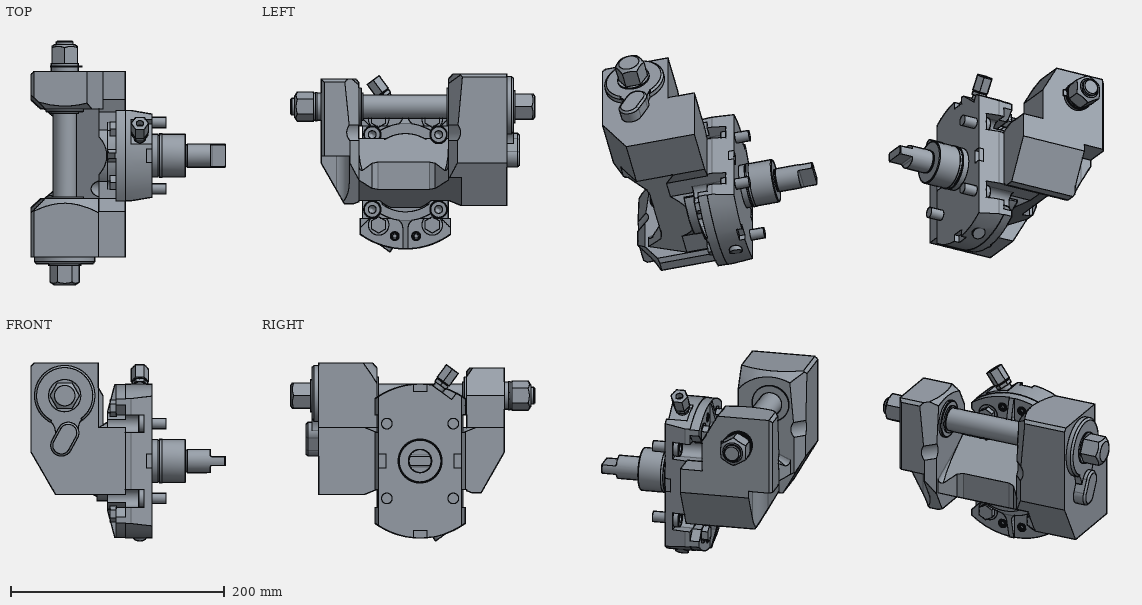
import cadquery as cq
import math

BIG = 400.0

BODY_FRONT_X = -113.5
BODY_BACK_X = -25.0

NEAR_OUTER_Y = -95.0
NEAR_INNER_Y = -40.3
NEAR_TOP_Z = 91.87
NEAR_BACK_X = -50.3
STEP_Z = 31.5
NEAR_BOTTOM_Z = -31.5

FAR_OUTER_Y = 79.0
FAR_INNER_Y = 43.7
FAR_TOP_Z = 87.1
FAR_BACK_X = -46.0
FAR_BEVEL_WIDTH = 15.0
FAR_BOTTOM_Z = -29.8
FAR_SKEW_Y = 57.2

ARM_TOP_CHAMFER = 3.0
SLANT_TOP_Z = 8.4
STEEP_SLOPE = math.tan(math.radians(30))
EDGE_BEVEL_X = 9.0
EDGE_BEVEL_Y = 8.3
SCOOP_Z = 37.0
SCOOP_RADIUS = 14.5
SCOOP_OFFSET = 12.3
EDGE_BEVEL_GROWTH = 5.0
CONE_SLOPE = 0.9
CONE_LENGTH = 25.0
NEAR_CONE_RADIUS = 41.2
NEAR_CONE_Z = 46.0
FAR_CONE_RADIUS = 66.1
FAR_CONE_Z = 18.0

BRIDGE_HALF_HEIGHT = 26.7
SHOULDER_WIDTH = 12.0
FAR_SHOULDER_Y = 40.75
RAMP_TOP_X = -49.6
RAMP_SLOPE = 0.636
WALL_X = -84.5
WALL_MID_Y = 1.7
WALL_HALF_WIDTH = 24.0
FLARE_START_X = -86.3
FLARE_HALF_WIDTH = 29.6
FLARE_END_X = -101.0
UNDERCUT_START_X = -106.0
UNDERCUT_START_Z = -5.0
UNDERCUT_SLOPE = 0.522
UNDERCUT_NEAR_Y = -52.5
HUB_RADIUS = 36.0
HUB_RING_RADIUS = 37.3
HUB_RING_FRONT_X = -51.8
RAMP_FILLET = 7.6
RAMP_FILLET_START_X = -60.0
RAMP_FILLET_SLOPE = 0.45

ROD_X = -81.9
ROD_Z = 61.2
ROD_RADIUS = 11.0
ROD_END_RADIUS = 8.0
ROD_END_Y = 107.4
ROD_COLLAR_RADIUS = 17.7
HEX_FLATS = 24.0
HEX_FACE_RADIUS = 9.6
HEX_BEVEL = 2.8
NEAR_HEX_START_Y = -102.6
NEAR_HEX_END_Y = -121.1
FAR_HEX_START_Y = 86.1
FAR_HEX_END_Y = 103.9
DISC_RADIUS = 28.3
DISC_END_Y = -101.3
DISC_CHAMFER = 2.0
KEY_END_Y = -107.0
KEY_RADIUS = 10.0
KEY_TOP = (-78.6, 26.4)
KEY_LOW = (-85.0, 14.65)
NECK_LEFT = ((-94.9, 36.7), (-91.7, 32.2), (-90.6, 26.5))
NECK_RIGHT = ((-65.9, 39.2), (-68.3, 34.8), (-68.7, 27.8))

FLANGE_RADIUS = 72.2
FLANGE_BACK_X = -25.0
FLANGE_HALF_WIDTH = 42.4
FLANGE_TAPER_X = -20.0
FLANGE_FACE_HALF_WIDTH = 39.0
SCREW_Y = 31.1
SCREW_Z = 35.0
SCREW_SEAT_X = -7.6
SCREW_HEAD_X = -13.0
SCREW_HEAD_RADIUS = 8.0
SCREW_SOCKET_RADIUS = 3.7
SCREW_POCKET_RADIUS = 8.3
NEAR_POCKET_X = -57.5
SCREW_SHANK_RADIUS = 5.0
SCREW_END_X = 13.1
KEYWAY_WIDTH = 12.7
KEYWAY_DEPTH = 5.1
KEYWAY_LENGTH = 7.0

PLATE_FRONT_X = -33.9
RIB_TIP_X = -35.0
PLATE_INNER_Z = 43.3
PLATE_CORNER = 9.0
PLATE_RADIUS = 71.8
RING_FRONT_X = -42.0
RING_RADIUS = 45.5
RIB_HALF_WIDTH = 2.5
RIB_ROOT_HALF_WIDTH = 6.0
RIB_BLEND_Z = 53.0
BOLT_Y = 25.1
BOLT_Z = 49.5
BOLT_FLATS = 13.2
BOLT_FRONT_X = -39.4
SPOTFACE_X = -33.5
SPOTFACE_RADIUS = 9.6
SET_SCREW_Y = 10.0
SET_SCREW_Z = 60.0
SET_SCREW_RADIUS = 4.2
SET_SCREW_HEAD_RADIUS = 3.2
SET_SCREW_SOCKET_FLATS = 4.0

NOZZLE_X = -11.5
NOZZLE_TILT = 36.1
NOZZLE_SIDE = 26.3
NOZZLE_SEAT = 64.0
NOZZLE_HEX_START = 72.9
NOZZLE_HEX_END = 87.4
NOZZLE_FLATS = 14.0
NOZZLE_BORE_RADIUS = 3.3
NOZZLE_NECK_RADIUS = 5.5
NOZZLE_COLLAR_FLATS = 13.0
NOZZLE_SEAT_SIDE = 10.0
PLUG_RADIUS = 6.1
PLUG_END = 69.13

SPINDLE_RADIUS = 20.25
SPINDLE_GROOVE_X = 5.5
SPINDLE_GROOVE_END_X = 7.0
SPINDLE_GROOVE_RADIUS = 19.3
SPINDLE_COLLAR_END_X = 9.3
SPINDLE_COLLAR_RADIUS = 20.6
SPINDLE_END_X = 31.4
SHAFT_RADIUS = 11.0
NECK_RADIUS = 10.4
NECK_END_X = 32.5
TANG_START_X = 54.5
SHAFT_END_X = 68.72
TANG_HALF_THICKNESS = 4.2
TANG_FILLET = 1.5
TANG_CHAMFER = 0.8


def box(x0, x1, y0, y1, z0, z1):
    return cq.Workplane("XY").box(x1 - x0, y1 - y0, z1 - z0, centered=False).translate((x0, y0, z0))


def cylinder_x(x0, x1, radius, y=0.0, z=0.0):
    return cq.Workplane("YZ", origin=(x0, y, z)).circle(radius).extrude(x1 - x0)


def cylinder_y(y0, y1, radius):
    """Cylinder on the rod axis; the XZ workplane has its normal on -Y."""
    return cq.Workplane("XZ", origin=(ROD_X, y0, ROD_Z)).circle(radius).extrude(y0 - y1)


def prism_xz(points, y0, y1):
    return cq.Workplane("XZ", origin=(0, y0, 0)).polyline(points).close().extrude(y0 - y1)


def prism_yz(points, x0, x1):
    return cq.Workplane("YZ", origin=(x0, 0, 0)).polyline(points).close().extrude(x1 - x0)


def prism_xy(points, z0, z1):
    return cq.Workplane("XY", origin=(0, 0, z0)).polyline(points).close().extrude(z1 - z0)


def corner_diameter(flats):
    return 2 * flats / math.sqrt(3)


def slant_x(z):
    """X of the slanted lower front face of the arms at height z."""
    return BODY_FRONT_X + (SLANT_TOP_Z - z) * STEEP_SLOPE


def ramp_z(x):
    """Height of the sloping top of the bridge at x."""
    return STEP_Z + (x - RAMP_TOP_X) * RAMP_SLOPE


def ease_inner_edges(arm, inner_y, outward, top_z, cone_radius, cone_z):
    """Bevel, scoop and cone on the arm's inner face; outward is the Y sign into the arm."""
    bevel_y = inner_y + outward * EDGE_BEVEL_Y
    bevel_x = BODY_FRONT_X + EDGE_BEVEL_X
    low_points = [(BODY_FRONT_X, bevel_y), (bevel_x, inner_y), (BODY_FRONT_X, inner_y)]
    bevel = prism_xy(low_points, -BIG, BIG)
    top_points = [
        (BODY_FRONT_X, bevel_y + outward * EDGE_BEVEL_GROWTH),
        (bevel_x + EDGE_BEVEL_GROWTH, inner_y),
        (BODY_FRONT_X, inner_y),
    ]
    widening = cq.Workplane("XY", origin=(0, 0, SCOOP_Z)).polyline(low_points).close()
    widening = widening.workplane(offset=top_z - SCOOP_Z).polyline(top_points).close().loft(ruled=True)

    length = math.hypot(EDGE_BEVEL_X, EDGE_BEVEL_Y)
    along = (EDGE_BEVEL_X / length, -outward * EDGE_BEVEL_Y / length, 0)
    away = (-EDGE_BEVEL_Y / length, -outward * EDGE_BEVEL_X / length)
    centre = (
        (BODY_FRONT_X + bevel_x) / 2 + away[0] * SCOOP_OFFSET,
        (bevel_y + inner_y) / 2 + away[1] * SCOOP_OFFSET,
        SCOOP_Z,
    )
    plane = cq.Plane(origin=centre, xDir=(0, 0, 1), normal=along)
    scoop = cq.Workplane(plane).circle(SCOOP_RADIUS).extrude(2 * length, both=True)

    end_radius = cone_radius + CONE_LENGTH / CONE_SLOPE
    cone = cq.Workplane(
        cq.Solid.makeCone(
            cone_radius,
            end_radius,
            CONE_LENGTH,
            cq.Vector(ROD_X, inner_y, cone_z),
            cq.Vector(0, outward, 0),
        )
    )
    slab_end = inner_y + outward * CONE_LENGTH
    rim = box(-BIG, BIG, min(inner_y, slab_end), max(inner_y, slab_end), ROD_Z, BIG).cut(cone)
    return arm.cut(bevel).cut(widening).cut(scoop).cut(rim)


def near_arm():
    outline = [
        (BODY_FRONT_X, SLANT_TOP_Z),
        (BODY_FRONT_X, NEAR_TOP_Z - ARM_TOP_CHAMFER),
        (BODY_FRONT_X + ARM_TOP_CHAMFER, NEAR_TOP_Z),
        (NEAR_BACK_X, NEAR_TOP_Z),
        (NEAR_BACK_X, STEP_Z),
        (BODY_BACK_X, STEP_Z),
        (BODY_BACK_X, NEAR_BOTTOM_Z),
        (slant_x(NEAR_BOTTOM_Z), NEAR_BOTTOM_Z),
    ]
    arm = prism_xz(outline, NEAR_OUTER_Y, NEAR_INNER_Y)
    return ease_inner_edges(arm, NEAR_INNER_Y, -1, NEAR_TOP_Z, NEAR_CONE_RADIUS, NEAR_CONE_Z)


def far_arm():
    bevel_drop = FAR_BEVEL_WIDTH / STEEP_SLOPE
    outline = [
        (BODY_FRONT_X, SLANT_TOP_Z),
        (BODY_FRONT_X, FAR_TOP_Z - ARM_TOP_CHAMFER),
        (BODY_FRONT_X + ARM_TOP_CHAMFER, FAR_TOP_Z),
        (FAR_BACK_X - FAR_BEVEL_WIDTH, FAR_TOP_Z),
        (FAR_BACK_X, FAR_TOP_Z - bevel_drop),
        (FAR_BACK_X, STEP_Z),
        (BODY_BACK_X, STEP_Z),
        (BODY_BACK_X, FAR_BOTTOM_Z),
        (slant_x(FAR_BOTTOM_Z), FAR_BOTTOM_Z),
    ]
    arm = prism_xz(outline, FAR_INNER_Y, FAR_OUTER_Y)
    arm = ease_inner_edges(arm, FAR_INNER_Y, 1, FAR_TOP_Z, FAR_CONE_RADIUS, FAR_CONE_Z)
    corner = [
        (BODY_FRONT_X, FAR_OUTER_Y - ARM_TOP_CHAMFER),
        (BODY_FRONT_X + ARM_TOP_CHAMFER, FAR_OUTER_Y),
        (BODY_FRONT_X, FAR_OUTER_Y),
    ]
    arm = arm.cut(prism_xy(corner, -BIG, BIG))
    skew = [(FAR_OUTER_Y, SLANT_TOP_Z), (FAR_SKEW_Y, FAR_BOTTOM_Z), (FAR_OUTER_Y, FAR_BOTTOM_Z)]
    arm = arm.cut(prism_yz(skew, -BIG, BIG))
    return arm.cut(far_arm_recess())


def far_arm_recess():
    """Rounded recess under the front outer corner of the far arm."""
    ceiling_z = 15.0
    wall_x = -91.0
    round_radius = 12.0
    round_x = wall_x - round_radius
    round_y = 64.5
    recess = cq.Workplane("XY", origin=(0, 0, -BIG)).moveTo(-BIG, round_y - round_radius)
    recess = recess.lineTo(round_x, round_y - round_radius)
    diagonal = round_radius / math.sqrt(2)
    recess = recess.threePointArc((round_x + diagonal, round_y - diagonal), (wall_x, round_y))
    return recess.lineTo(wall_x, BIG).lineTo(-BIG, BIG).close().extrude(BIG + ceiling_z)


def arm_shoulders(body):
    """Slope the arms' low ends down to the height of the bridge, above and below."""
    body = body.union(box(RAMP_TOP_X, BODY_BACK_X, FAR_SHOULDER_Y, FAR_INNER_Y, 0, STEP_Z))
    slope = (STEP_Z - BRIDGE_HALF_HEIGHT) / SHOULDER_WIDTH
    for inner_y, outward, bottom_z in ((NEAR_INNER_Y, -1, NEAR_BOTTOM_Z), (FAR_SHOULDER_Y, 1, FAR_BOTTOM_Z)):
        outer_y = inner_y + outward * SHOULDER_WIDTH
        upper = [(inner_y, BRIDGE_HALF_HEIGHT), (outer_y, STEP_Z), (inner_y, STEP_Z)]
        low_y = inner_y - outward * (bottom_z + BRIDGE_HALF_HEIGHT) / slope
        lower = [(inner_y, -BRIDGE_HALF_HEIGHT), (low_y, bottom_z), (inner_y, bottom_z)]
        body = body.cut(prism_yz(upper, RAMP_TOP_X, BODY_BACK_X))
        body = body.cut(prism_yz(lower, -BIG, BODY_BACK_X))
    return body


def bridge():
    left_y = WALL_MID_Y - WALL_HALF_WIDTH
    right_y = WALL_MID_Y + WALL_HALF_WIDTH
    left_flare_y = WALL_MID_Y - FLARE_HALF_WIDTH
    right_flare_y = WALL_MID_Y + FLARE_HALF_WIDTH
    plan = [
        (RAMP_TOP_X, NEAR_INNER_Y),
        (FLARE_END_X, NEAR_INNER_Y),
        (FLARE_START_X, left_flare_y),
        (WALL_X, left_y),
        (WALL_X, right_y),
        (FLARE_START_X, right_flare_y),
        (FLARE_END_X, FAR_INNER_Y),
        (RAMP_TOP_X, FAR_INNER_Y),
    ]
    block = prism_xy(plan, -BRIDGE_HALF_HEIGHT, STEP_Z)
    rear = box(
        RAMP_TOP_X, BODY_BACK_X, NEAR_INNER_Y, FAR_INNER_Y, -BRIDGE_HALF_HEIGHT, BRIDGE_HALF_HEIGHT
    )
    hub = cylinder_x(WALL_X, BODY_BACK_X, HUB_RADIUS)
    solid = block.union(rear).union(hub)
    above_ramp = [
        (-BIG, ramp_z(-BIG)),
        (RAMP_TOP_X + HUB_RADIUS, ramp_z(RAMP_TOP_X + HUB_RADIUS)),
        (-BIG, ramp_z(RAMP_TOP_X + HUB_RADIUS)),
    ]
    solid = solid.cut(prism_xz(above_ramp, NEAR_INNER_Y, FAR_INNER_Y))
    fillets = ramp_fillet(NEAR_INNER_Y, 1).union(ramp_fillet(FAR_INNER_Y, -1))
    return solid.union(fillets.intersect(prism_xy(plan, -BRIDGE_HALF_HEIGHT, STEP_Z)))


def ramp_fillet(wall_y, inward):
    """Concave fillet at the foot of an arm, shallower than the ramp so it grows towards the front."""
    origin = (RAMP_FILLET_START_X, wall_y, ramp_z(RAMP_FILLET_START_X))
    plane = cq.Plane(origin=origin, xDir=(0, inward, 0), normal=(-1, 0, -RAMP_FILLET_SLOPE))
    down = -RAMP_FILLET if plane.yDir.z > 0 else RAMP_FILLET
    bulge = 1 - 1 / math.sqrt(2)
    profile = cq.Workplane(plane).lineTo(0, down).lineTo(RAMP_FILLET, down)
    profile = profile.threePointArc((RAMP_FILLET * bulge, down * (1 - bulge)), (0, 0))
    return profile.close().extrude(RAMP_FILLET_START_X - BODY_FRONT_X)


def undercut():
    """Wedge taken off under the bridge between the arms."""
    end_x = 0.0
    drop = (end_x - UNDERCUT_START_X) * UNDERCUT_SLOPE
    points = [
        (-BIG, UNDERCUT_START_Z + (UNDERCUT_START_X + BIG) * UNDERCUT_SLOPE),
        (end_x, UNDERCUT_START_Z - drop),
        (-BIG, UNDERCUT_START_Z - drop),
    ]
    return prism_xz(points, UNDERCUT_NEAR_Y, FAR_INNER_Y)


def hub_ring():
    """Lower half ring where the hub meets the clamp ring."""
    ring = cylinder_x(HUB_RING_FRONT_X, RING_FRONT_X, HUB_RING_RADIUS)
    half_width = 22.0
    return ring.intersect(box(-BIG, BIG, -half_width, half_width, -BIG, 0))


def housing():
    body = near_arm().union(far_arm()).union(bridge()).cut(undercut())
    body = arm_shoulders(body)
    for side, front_x in ((-1, NEAR_POCKET_X), (1, RAMP_TOP_X)):
        body = body.cut(cylinder_x(front_x, BODY_BACK_X, SCREW_POCKET_RADIUS, side * SCREW_Y, SCREW_Z))
    return body.union(hub_ring())


def rod_hex(seat_y, end_y, rotation):
    """Hexagon of the rod with the corners of its outer end turned to a cone."""
    corner = corner_diameter(HEX_FLATS)
    outward = math.copysign(1, end_y - seat_y)
    length = abs(end_y - seat_y)
    plane = cq.Plane(origin=(ROD_X, seat_y, ROD_Z), xDir=(1, 0, 0), normal=(0, outward, 0))
    hexagon = cq.Workplane(plane).transformed(rotate=(0, 0, rotation)).polygon(6, corner).extrude(length)
    turned = cq.Workplane(plane).circle(corner / 2).extrude(length - HEX_BEVEL)
    cone_start = cq.Vector(ROD_X, end_y - outward * HEX_BEVEL, ROD_Z)
    cone = cq.Solid.makeCone(corner / 2, HEX_FACE_RADIUS, HEX_BEVEL, cone_start, cq.Vector(0, outward, 0))
    return hexagon.intersect(turned.union(cq.Workplane(cone)))


def rod():
    washer_y = 82.8
    washer_thickness = 1.2
    far_washer_radius = 13.4
    tab_end_x = -65.7
    tab_half_width = 3.0
    near_washer_radius = 15.1
    near_collar_y = -38.7
    far_collar_y = 41.0
    far_lip_y = 39.6
    lip_radius = 13.0
    sleeve_radius = 12.8
    collar_chamfer = 0.8
    end_chamfer = 1.2
    threaded = cylinder_y(NEAR_OUTER_Y, ROD_END_Y, ROD_END_RADIUS).faces(">Y").chamfer(end_chamfer)
    parts = threaded.union(cylinder_y(NEAR_OUTER_Y, FAR_OUTER_Y, ROD_RADIUS))
    washer_tab = box(0, tab_end_x - ROD_X, 0, washer_thickness, -tab_half_width, tab_half_width)
    washer_tab = washer_tab.translate((ROD_X, washer_y, ROD_Z))
    collars = (
        cylinder_y(far_collar_y, FAR_INNER_Y, ROD_COLLAR_RADIUS).faces("<Y").chamfer(collar_chamfer),
        cylinder_y(far_lip_y, far_collar_y, lip_radius),
        cylinder_y(NEAR_INNER_Y, near_collar_y, ROD_COLLAR_RADIUS),
        cylinder_y(FAR_OUTER_Y, FAR_HEX_START_Y, sleeve_radius),
        cylinder_y(washer_y, washer_y + washer_thickness, far_washer_radius),
        washer_tab,
        cylinder_y(NEAR_HEX_START_Y, DISC_END_Y, near_washer_radius),
        rod_hex(FAR_HEX_START_Y, FAR_HEX_END_Y, 30),
        rod_hex(NEAR_HEX_START_Y, NEAR_HEX_END_Y, 0),
    )
    for collar in collars:
        parts = parts.union(collar)
    return parts


def locking_disc():
    """Disc under the rod head with a necked tongue ending in a raised key."""
    disc = cylinder_y(DISC_END_Y, NEAR_OUTER_Y, DISC_RADIUS).faces("<Y").chamfer(DISC_CHAMFER)
    neck = (
        cq.Workplane("XZ", origin=(0, NEAR_OUTER_Y, 0))
        .moveTo(ROD_X, ROD_Z)
        .lineTo(*NECK_LEFT[0])
        .threePointArc(NECK_LEFT[1], NECK_LEFT[2])
        .lineTo(*KEY_TOP)
        .lineTo(*NECK_RIGHT[2])
        .threePointArc(NECK_RIGHT[1], NECK_RIGHT[0])
        .close()
        .extrude(NEAR_OUTER_Y - DISC_END_Y)
    )
    run_x = KEY_TOP[0] - KEY_LOW[0]
    run_z = KEY_TOP[1] - KEY_LOW[1]
    length = math.hypot(run_x, run_z) + 2 * KEY_RADIUS
    tilt = math.degrees(math.atan2(run_z, run_x))
    key = (
        cq.Workplane("XZ", origin=(KEY_LOW[0] + run_x / 2, NEAR_OUTER_Y, KEY_LOW[1] + run_z / 2))
        .slot2D(length, 2 * KEY_RADIUS, tilt)
        .extrude(NEAR_OUTER_Y - KEY_END_Y)
        .faces("<Y")
        .chamfer(DISC_CHAMFER)
    )
    return disc.union(neck).union(key)


def flange():
    plan = [
        (FLANGE_BACK_X, -FLANGE_HALF_WIDTH),
        (FLANGE_TAPER_X, -FLANGE_HALF_WIDTH),
        (0, -FLANGE_FACE_HALF_WIDTH),
        (0, FLANGE_FACE_HALF_WIDTH),
        (FLANGE_TAPER_X, FLANGE_HALF_WIDTH),
        (FLANGE_BACK_X, FLANGE_HALF_WIDTH),
    ]
    plate = cylinder_x(FLANGE_BACK_X, 0, FLANGE_RADIUS).intersect(prism_xy(plan, -BIG, BIG))
    keyway = box(-KEYWAY_DEPTH, 0, 0, KEYWAY_LENGTH, -KEYWAY_WIDTH / 2, KEYWAY_WIDTH / 2)
    rims = (FLANGE_FACE_HALF_WIDTH, FLANGE_RADIUS, FLANGE_FACE_HALF_WIDTH, FLANGE_RADIUS)
    for quarter, rim in enumerate(rims):
        placed = keyway.translate((0, rim - KEYWAY_LENGTH, 0))
        plate = plate.cut(placed.rotate((0, 0, 0), (1, 0, 0), 90 * quarter))
    return plate


def clamp_plate(side):
    """Segment plate with clipped inner corners; side is the Z sign."""
    edge = FLANGE_HALF_WIDTH
    outline = [
        (-edge, side * BIG),
        (-edge, side * (PLATE_INNER_Z + PLATE_CORNER)),
        (-edge + PLATE_CORNER, side * PLATE_INNER_Z),
        (edge - PLATE_CORNER, side * PLATE_INNER_Z),
        (edge, side * (PLATE_INNER_Z + PLATE_CORNER)),
        (edge, side * BIG),
    ]
    disc = cylinder_x(PLATE_FRONT_X, FLANGE_BACK_X, PLATE_RADIUS)
    return disc.intersect(prism_yz(outline, PLATE_FRONT_X, FLANGE_BACK_X))


def clamp_rib(side):
    """Tapering rib on the plate's centre, flared where it joins the ring."""
    bend_y = 3.3
    bend_z = 48.75
    ring_overlap = 2.0
    inner_z = RING_RADIUS - ring_overlap
    blank = (
        cq.Workplane("YZ", origin=(RING_FRONT_X, 0, 0))
        .moveTo(-RIB_ROOT_HALF_WIDTH, side * inner_z)
        .lineTo(-RIB_ROOT_HALF_WIDTH, side * RING_RADIUS)
        .threePointArc((-bend_y, side * bend_z), (-RIB_HALF_WIDTH, side * RIB_BLEND_Z))
        .lineTo(-RIB_HALF_WIDTH, side * PLATE_RADIUS)
        .lineTo(RIB_HALF_WIDTH, side * PLATE_RADIUS)
        .lineTo(RIB_HALF_WIDTH, side * RIB_BLEND_Z)
        .threePointArc((bend_y, side * bend_z), (RIB_ROOT_HALF_WIDTH, side * RING_RADIUS))
        .lineTo(RIB_ROOT_HALF_WIDTH, side * inner_z)
        .close()
        .extrude(FLANGE_BACK_X - RING_FRONT_X)
    )
    taper = [
        (FLANGE_BACK_X, side * inner_z),
        (RING_FRONT_X, side * inner_z),
        (RING_FRONT_X, side * RING_RADIUS),
        (RIB_TIP_X, side * PLATE_RADIUS),
        (FLANGE_BACK_X, side * PLATE_RADIUS),
    ]
    tapered = blank.intersect(prism_xz(taper, -RIB_ROOT_HALF_WIDTH, RIB_ROOT_HALF_WIDTH))
    return tapered.intersect(cylinder_x(RING_FRONT_X, FLANGE_BACK_X, PLATE_RADIUS))


def clamp_ring():
    ring = cylinder_x(RING_FRONT_X, FLANGE_BACK_X, RING_RADIUS)
    return ring.intersect(box(-BIG, BIG, -SCREW_Y, SCREW_Y, -BIG, BIG))


def screw_pocket(side_y, side_z):
    """Clearance for a flange screw, open towards the flange's side."""
    y = side_y * SCREW_Y
    z = side_z * SCREW_Z
    well = cylinder_x(RING_FRONT_X, SCREW_SEAT_X, SCREW_POCKET_RADIUS, y, z)
    outer = sorted((y, side_y * BIG))
    mouth = box(RING_FRONT_X, SCREW_SEAT_X, outer[0], outer[1], -SCREW_POCKET_RADIUS, SCREW_POCKET_RADIUS)
    return well.union(mouth.translate((0, 0, z)))


def flange_screw(side_y, side_z):
    y = side_y * SCREW_Y
    z = side_z * SCREW_Z
    head_chamfer = 0.6
    head = cylinder_x(SCREW_HEAD_X, SCREW_SEAT_X, SCREW_HEAD_RADIUS, y, z).faces("<X").chamfer(head_chamfer)
    socket = cq.Solid.makeCone(
        SCREW_SOCKET_RADIUS, 0, SCREW_SOCKET_RADIUS, cq.Vector(SCREW_HEAD_X, y, z), cq.Vector(1, 0, 0)
    )
    shank = cylinder_x(SCREW_SEAT_X, SCREW_END_X, SCREW_SHANK_RADIUS, y, z)
    return head.cut(cq.Workplane(socket)).union(shank)


def clamp_bolt(side_y, side_z):
    origin = (BOLT_FRONT_X, side_y * BOLT_Y, side_z * BOLT_Z)
    head = cq.Workplane("YZ", origin=origin).transformed(rotate=(0, 0, 30))
    return head.polygon(6, corner_diameter(BOLT_FLATS)).extrude(SPOTFACE_X - BOLT_FRONT_X)


def set_screw_cut(side_y, side_z):
    """Ring-shaped gap and socket of a set screw sunk flush in the clamp plate."""
    depth = 2.0
    y = side_y * SET_SCREW_Y
    z = side_z * SET_SCREW_Z
    end_x = PLATE_FRONT_X + depth
    gap = cylinder_x(PLATE_FRONT_X, end_x, SET_SCREW_RADIUS, y, z)
    gap = gap.cut(cylinder_x(PLATE_FRONT_X, end_x, SET_SCREW_HEAD_RADIUS, y, z))
    socket = cq.Workplane("YZ", origin=(PLATE_FRONT_X, y, z))
    socket = socket.polygon(6, corner_diameter(SET_SCREW_SOCKET_FLATS)).extrude(depth)
    return gap.union(socket)


def flange_assembly():
    corners = [(side_y, side_z) for side_y in (-1, 1) for side_z in (-1, 1)]
    solid = flange().union(clamp_ring())
    for side_z in (-1, 1):
        solid = solid.union(clamp_plate(side_z)).union(clamp_rib(side_z))
    for side_y, side_z in corners:
        spotface = cylinder_x(RING_FRONT_X, SPOTFACE_X, SPOTFACE_RADIUS, side_y * BOLT_Y, side_z * BOLT_Z)
        solid = solid.cut(spotface).cut(screw_pocket(side_y, side_z)).cut(set_screw_cut(side_y, side_z))
    for side_y, side_z in corners:
        solid = solid.union(flange_screw(side_y, side_z)).union(clamp_bolt(side_y, side_z))
    return solid


def nozzle_plane(distance, side_z):
    """Plane square to the tilted port axis, local x along X."""
    tilt = math.radians(NOZZLE_TILT)
    axis_y = math.sin(tilt)
    axis_z = math.cos(tilt)
    y = axis_y * distance - axis_z * NOZZLE_SIDE
    z = axis_z * distance + axis_y * NOZZLE_SIDE
    return cq.Plane(origin=(NOZZLE_X, y, side_z * z), xDir=(1, 0, 0), normal=(0, axis_y, side_z * axis_z))


def port_cylinder(start, end, radius, side_z):
    return cq.Workplane(nozzle_plane(start, side_z)).circle(radius).extrude(end - start)


def nozzle_seat():
    """Flat milled into the flange rim, with a wall on the +Y side."""
    seat_wall = NOZZLE_SIDE - NOZZLE_SEAT_SIDE
    span = 40.0
    centre_x = FLANGE_TAPER_X / 2 - NOZZLE_X
    plane = nozzle_plane(NOZZLE_SEAT, 1)
    toward_plus_y = 1 if plane.yDir.y > 0 else -1
    cut = cq.Workplane(plane).center(centre_x, toward_plus_y * (seat_wall - span / 2))
    return cut.rect(-FLANGE_TAPER_X, span).extrude(span)


def nozzle():
    neck_depth = 4.0
    collar_length = 3.5
    collar_gap = 1.0
    hex_length = NOZZLE_HEX_END - NOZZLE_HEX_START
    body = cq.Workplane(nozzle_plane(NOZZLE_HEX_START, 1))
    body = body.polygon(6, corner_diameter(NOZZLE_FLATS)).extrude(hex_length)
    collar_start = NOZZLE_HEX_START - collar_gap - collar_length
    collar = cq.Workplane(nozzle_plane(collar_start, 1)).polygon(6, corner_diameter(NOZZLE_COLLAR_FLATS))
    neck = port_cylinder(NOZZLE_SEAT - neck_depth, NOZZLE_HEX_START, NOZZLE_NECK_RADIUS, 1)
    bore = port_cylinder(NOZZLE_HEX_END - hex_length / 2, NOZZLE_HEX_END, NOZZLE_BORE_RADIUS, 1)
    return body.union(collar.extrude(collar_length)).union(neck).cut(bore)


def plug():
    return port_cylinder(NOZZLE_SEAT, PLUG_END, PLUG_RADIUS, -1)


def spindle():
    edge = 0.8
    steps = (
        (0, SPINDLE_GROOVE_X, SPINDLE_RADIUS),
        (SPINDLE_GROOVE_X, SPINDLE_GROOVE_END_X, SPINDLE_GROOVE_RADIUS),
        (SPINDLE_GROOVE_END_X, SPINDLE_COLLAR_END_X, SPINDLE_COLLAR_RADIUS),
        (SPINDLE_END_X, NECK_END_X, NECK_RADIUS),
    )
    solid = cylinder_x(SPINDLE_COLLAR_END_X, SPINDLE_END_X, SPINDLE_RADIUS).faces(">X").chamfer(edge)
    for start, end, radius in steps:
        solid = solid.union(cylinder_x(start, end, radius))
    shaft = cylinder_x(NECK_END_X, SHAFT_END_X, SHAFT_RADIUS).faces("|X").chamfer(TANG_CHAMFER)
    for side in (-1, 1):
        z_range = sorted((side * TANG_HALF_THICKNESS, side * BIG))
        flat = box(TANG_START_X, BIG, -BIG, BIG, z_range[0], z_range[1])
        flat = flat.edges("|Y and <X").edges("<Z" if side > 0 else ">Z").fillet(TANG_FILLET)
        shaft = shaft.cut(flat)
    return solid.union(shaft)


result = (
    housing()
    .union(flange_assembly().cut(nozzle_seat()))
    .union(spindle())
    .union(rod())
    .union(locking_disc())
    .union(nozzle())
    .union(plug())
)